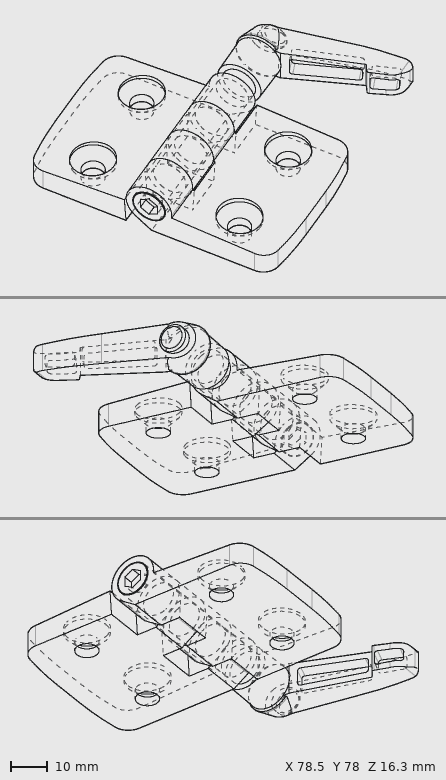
import cadquery as cq
import math


leaf_length = 48.0
leaf_reach = 38.5
leaf_edge_height = 6.5
leaf_root_height = 7.96
edge_flat_length = 11.4
edge_bow = 1.8
leaf_corner_radius = 5.0

axis_height = 9.0
barrel_radius = 7.0
knuckle_count = 4
knuckle_length = leaf_length / knuckle_count
knuckle_toe = 0.8
gap_top = 7.55
gap_bottom = 7.05

screw_x = 22.5
screw_y = 14.0
screw_diameter = 6.6
sink_diameter = 12.8
sink_top_height = 6.0

pin_diameter = 10.0
pin_end_chamfer = 0.2
hex_corner_diameter = 6.0
hex_depth = 3.0

hub_start = 28.0
hub_start_radius = 6.65
collar_start = 39.05
collar_start_radius = 6.85
collar_low = 39.7
collar_high = 40.25
collar_radius = 7.25
hub_cone_end = 49.0
hub_cone_end_radius = 4.75

button_diameter = 8.0
button_top_diameter = 6.4
button_end = 48.5
button_chamfer_height = 0.5

arm_root = (6.75, collar_start)
arm_step_inner = (28.9, 46.9)
arm_stop = (30.5, 44.45)
arm_stop_radius = 0.8
arm_belly = (35.3, 46.3)
arm_tip_side = (38.5, 48.3)
arm_tip_low = (39.9, 51.6)
arm_tip_high = (40.0, 53.1)
arm_tip_shoulder = (38.5, 53.8)
arm_crest = (36.8, 54.0)
arm_back_middle = (28.0, 53.0)
arm_back_start = (20.0, 51.3)
hub_cut = (-9.0, 44.7)
arm_root_half_height = 5.1
arm_tip_half_height = 3.87
arm_tip_round = 1.6

pocket_wall = 1.95
pocket_corner_radius = 0.9
pocket_overcut = 1.0
long_pocket_start = 9.05
long_pocket_end = 27.9
long_pocket_depth = 4.0
tip_pocket_start = 31.2
tip_pocket_end = 38.7
tip_pocket_depth = 4.5

arm_tip_x = arm_tip_high[0]


def leaf_plate():
    """Right-hand plate with a bowed outer edge, rounded corners and a sloping top."""
    half_length = leaf_length / 2
    half_flat = edge_flat_length / 2
    bow_run = half_length - half_flat
    bow_radius = (bow_run**2 + edge_bow**2) / (2 * edge_bow)
    middle_run = bow_run / 2
    middle_bow = bow_radius - math.sqrt(bow_radius**2 - middle_run**2)
    end_x = leaf_reach - edge_bow
    bow_x = leaf_reach - middle_bow
    bow_y = half_flat + middle_run
    blank = (
        cq.Workplane("XY")
        .moveTo(0, -half_length)
        .lineTo(end_x, -half_length)
        .threePointArc((bow_x, -bow_y), (leaf_reach, -half_flat))
        .lineTo(leaf_reach, half_flat)
        .threePointArc((bow_x, bow_y), (end_x, half_length))
        .lineTo(0, half_length)
        .close()
        .extrude(axis_height)
    )
    for y in (-half_length, half_length):
        outer_corner = cq.selectors.NearestToPointSelector((end_x, y, axis_height / 2))
        blank = blank.edges(outer_corner).fillet(leaf_corner_radius)
    section = (
        cq.Workplane("XZ")
        .polyline([
            (gap_bottom, 0),
            (leaf_reach, 0),
            (leaf_reach, leaf_edge_height),
            (gap_top, leaf_root_height),
        ])
        .close()
        .extrude(half_length, both=True)
    )
    return blank.intersect(section)


def knuckle(index):
    """Knuckle of the right-hand leaf; index 0 lies at the -Y end."""
    toe_distance = math.hypot(knuckle_toe, axis_height)
    tangent_angle = math.atan2(-axis_height, knuckle_toe) - math.acos(barrel_radius / toe_distance)
    tangent_point = (
        barrel_radius * math.cos(tangent_angle),
        axis_height + barrel_radius * math.sin(tangent_angle),
    )
    top_slope = (leaf_root_height - leaf_edge_height) / (leaf_reach - gap_top)
    top_at_barrel = leaf_root_height + top_slope * (gap_top - barrel_radius)
    y_start = -leaf_length / 2 + index * knuckle_length
    return (
        cq.Workplane("XZ", origin=(0, y_start, 0))
        .moveTo(knuckle_toe, 0)
        .lineTo(*tangent_point)
        .threePointArc((0, axis_height + barrel_radius), (barrel_radius, axis_height))
        .lineTo(barrel_radius, top_at_barrel)
        .lineTo(gap_top, leaf_root_height)
        .lineTo(gap_bottom, 0)
        .close()
        .extrude(-knuckle_length)
    )


def screw_hole(y):
    """Cutter for a through hole with a 90 degree countersink and a straight rim."""
    hole_radius = screw_diameter / 2
    sink_radius = sink_diameter / 2
    cone_bottom = sink_top_height - (sink_radius - hole_radius)
    return (
        cq.Workplane("XZ")
        .polyline([
            (0, 0),
            (hole_radius, 0),
            (hole_radius, cone_bottom),
            (sink_radius, sink_top_height),
            (sink_radius, axis_height),
            (0, axis_height),
        ])
        .close()
        .revolve(360, (0, 0, 0), (0, 1, 0))
        .translate((screw_x, y, 0))
    )


def leaf(first_knuckle):
    """Right-hand leaf that carries every second knuckle, from first_knuckle on."""
    body = leaf_plate()
    for index in range(first_knuckle, knuckle_count, 2):
        body = body.union(knuckle(index))
    for y in (-screw_y, screw_y):
        body = body.cut(screw_hole(y))
    bore = (
        cq.Workplane("XZ", origin=(0, 0, axis_height))
        .circle(pin_diameter / 2)
        .extrude(leaf_length / 2, both=True)
    )
    return body.cut(bore)


def turned(points):
    """Solid of revolution about the barrel axis from (radius, y) points."""
    return (
        cq.Workplane("XY", origin=(0, 0, axis_height))
        .polyline(points)
        .close()
        .revolve(360, (0, 0, 0), (0, 1, 0))
    )


def pin():
    pin_end = -leaf_length / 2
    pin_radius = pin_diameter / 2
    shank = turned([
        (0, pin_end),
        (pin_radius - pin_end_chamfer, pin_end),
        (pin_radius, pin_end + pin_end_chamfer),
        (pin_radius, hub_start),
        (0, hub_start),
    ])
    hex_socket = (
        cq.Workplane("XZ", origin=(0, pin_end, axis_height))
        .transformed(rotate=(0, 0, 90))
        .polygon(6, hex_corner_diameter)
        .extrude(-hex_depth)
    )
    return shank.cut(hex_socket)


def hub():
    """Turned hub whose top is cut off along the line of the arm's back."""
    body = turned([
        (0, hub_start),
        (hub_start_radius, hub_start),
        (collar_start_radius, collar_start),
        (collar_radius, collar_low),
        (collar_radius, collar_high),
        (hub_cone_end_radius, hub_cone_end),
        (0, hub_cone_end),
    ])
    keep = (
        cq.Workplane("XY")
        .polyline([
            (hub_cut[0], hub_start),
            (arm_back_start[0], hub_start),
            arm_back_start,
            hub_cut,
        ])
        .close()
        .extrude(2 * axis_height)
    )
    return body.intersect(keep)


def button():
    button_radius = button_diameter / 2
    return turned([
        (0, collar_high),
        (button_radius, collar_high),
        (button_radius, button_end - button_chamfer_height),
        (button_top_diameter / 2, button_end),
        (0, button_end),
    ])


def arm():
    """Arm outline in plan, thinned towards its tip by a tapered side outline."""
    back_slope = (arm_back_start[1] - hub_cut[1]) / (arm_back_start[0] - hub_cut[0])
    back_at_axis = (0, hub_cut[1] - back_slope * hub_cut[0])
    plan = (
        cq.Workplane("XY")
        .moveTo(0, collar_start)
        .lineTo(*arm_root)
        .lineTo(*arm_step_inner)
        .lineTo(*arm_stop)
        .lineTo(*arm_belly)
        .threePointArc(arm_tip_side, arm_tip_low)
        .lineTo(*arm_tip_high)
        .threePointArc(arm_tip_shoulder, arm_crest)
        .threePointArc(arm_back_middle, arm_back_start)
        .lineTo(*back_at_axis)
        .close()
        .extrude(2 * axis_height)
    )
    stop_edge = cq.selectors.NearestToPointSelector((*arm_stop, axis_height))
    plan = plan.edges(stop_edge).fillet(arm_stop_radius)
    side = (
        cq.Workplane("XZ", origin=(0, 0, axis_height))
        .polyline([
            (0, -arm_root_half_height),
            (arm_tip_x, -arm_tip_half_height),
            (arm_tip_x, arm_tip_half_height),
            (0, arm_root_half_height),
        ])
        .close()
        .extrude(-2 * leaf_length)
        .edges("|Y and >X")
        .fillet(arm_tip_round)
    )
    return plan.intersect(side)


def arm_half_height(x):
    taper = (arm_root_half_height - arm_tip_half_height) / arm_tip_x
    return arm_root_half_height - taper * x


def arm_pocket(start_x, end_x, face_start, face_end, depth):
    """Cutter sunk square to the underside line that runs from face_start to face_end."""
    slope = (face_end[1] - face_start[1]) / (face_end[0] - face_start[0])
    tilt = math.atan(slope)
    start_y = face_start[1] + slope * (start_x - face_start[0])
    length = (end_x - start_x) / math.cos(tilt)
    start_half = arm_half_height(start_x) - pocket_wall
    end_half = arm_half_height(end_x) - pocket_wall
    mouth = cq.Plane(
        origin=(start_x, start_y, axis_height),
        xDir=(math.cos(tilt), math.sin(tilt), 0),
        normal=(-math.sin(tilt), math.cos(tilt), 0),
    )
    return (
        cq.Workplane(mouth)
        .polyline([(0, -start_half), (length, -end_half), (length, end_half), (0, start_half)])
        .close()
        .extrude(depth + pocket_overcut)
        .translate(mouth.zDir * -pocket_overcut)
        .edges(cq.selectors.ParallelDirSelector(mouth.zDir))
        .fillet(pocket_corner_radius)
    )


def lever():
    long_pocket = arm_pocket(
        long_pocket_start, long_pocket_end, arm_root, arm_step_inner, long_pocket_depth
    )
    tip_pocket = arm_pocket(
        tip_pocket_start, tip_pocket_end, arm_stop, arm_belly, tip_pocket_depth
    )
    pocketed_arm = arm().cut(long_pocket).cut(tip_pocket)
    return pin().union(hub()).union(button()).union(pocketed_arm)


right_leaf = leaf(0)
left_leaf = leaf(1).mirror("YZ")
clamping_lever = lever()

result = cq.Compound.makeCompound([right_leaf.val(), left_leaf.val(), clamping_lever.val()])